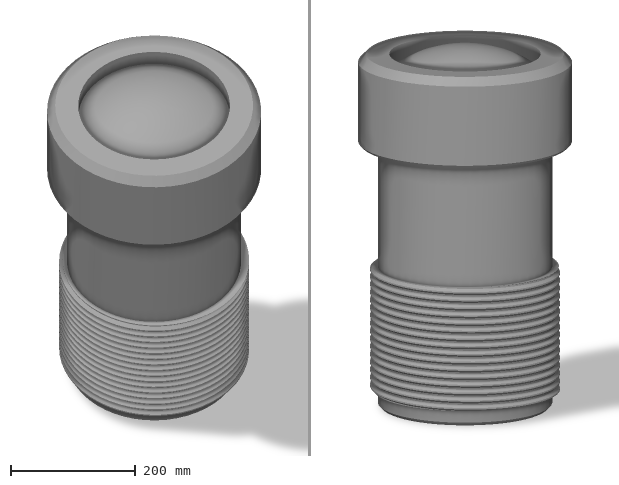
import cadquery as cq
import math

total_height = 592.0
body_radius = 139.5
foot_chamfer = 6.0

head_radius = 171.35
head_bottom = 431.5
head_top = 579.5
head_top_chamfer = 13.0
head_bottom_chamfer = 5.0

opening_radius = 121.5
dome_radius = 207.0

thread_bottom = 26.5
thread_top = 229.5
thread_crest_radius = 152.0
thread_root_radius = 146.0
thread_pitch = 12.7
crest_width = 2.5
ridge_base_width = 10.0
ridge_overlap = 2.0
first_turn_height = 15.0

dome_centre = total_height - dome_radius
dome_rim = dome_centre + math.sqrt(dome_radius**2 - opening_radius**2)
dome_mid_radius = opening_radius / 2
dome_mid = dome_centre + math.sqrt(dome_radius**2 - dome_mid_radius**2)


def cylinder(radius, bottom, top):
    return cq.Workplane("XY").workplane(offset=bottom).circle(radius).extrude(top - bottom)


def make_turned_body():
    """Revolve the body, head and domed lens as one profile."""
    profile = (
        cq.Workplane("XZ")
        .moveTo(0, 0)
        .lineTo(body_radius - foot_chamfer, 0)
        .lineTo(body_radius, foot_chamfer)
        .lineTo(body_radius, head_bottom)
        .lineTo(head_radius - head_bottom_chamfer, head_bottom)
        .lineTo(head_radius, head_bottom + head_bottom_chamfer)
        .lineTo(head_radius, head_top - head_top_chamfer)
        .lineTo(head_radius - head_top_chamfer, head_top)
        .lineTo(opening_radius, head_top)
        .lineTo(opening_radius, dome_rim)
        .threePointArc((dome_mid_radius, dome_mid), (0, total_height))
        .close()
    )
    return profile.revolve(360, (0, 0, 0), (0, 1, 0))


def make_thread():
    """Sweep a ridge along a helix on the root cylinder and trim both ends flat."""
    ridge_length = thread_top + thread_pitch - first_turn_height
    helix = cq.Wire.makeHelix(
        thread_pitch, ridge_length, thread_root_radius,
        center=cq.Vector(0, 0, first_turn_height), lefthand=True,
    )
    base_radius = thread_root_radius - ridge_overlap
    flank_slope = (ridge_base_width - crest_width) / 2 / (thread_crest_radius - thread_root_radius)
    half_base = ridge_base_width / 2 + ridge_overlap * flank_slope
    half_crest = crest_width / 2
    ridge = (
        cq.Workplane("XZ")
        .polyline([
            (base_radius, first_turn_height - half_base),
            (thread_crest_radius, first_turn_height - half_crest),
            (thread_crest_radius, first_turn_height + half_crest),
            (base_radius, first_turn_height + half_base),
        ])
        .close()
        .sweep(cq.Workplane(helix), isFrenet=True)
    )
    trim_zone = cylinder(head_radius, thread_bottom, thread_top)
    root = cylinder(thread_root_radius, thread_bottom, thread_top)
    return root.union(ridge.intersect(trim_zone))


result = make_turned_body().union(make_thread())